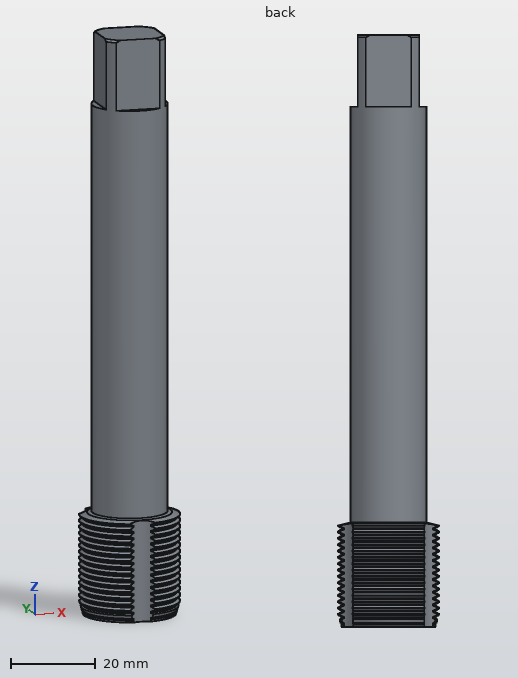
import cadquery as cq
import math

total_length = 140.0
square_length = 17.0
joint_height = 24.5

shank_radius = 18.0 / 2
surround_radius = 2 * shank_radius
square_width = 14.5
end_chamfer = 0.5

joint_radius = 10.1
shoulder_angle = 14.0

pitch = 21.0 / 14
groove_count = 16
crest_radius = 16 * pitch / 2
flank_angle = 30.0
crest_flat = pitch / 8
thread_depth = 0.91

tip_radius = 11.0
taper_length = 3.2

flute_count = 3
flute_radius = 4.3
flute_floor_radius = 10.4
first_flute_angle = -90.0

shoulder_slope = math.tan(math.radians(shoulder_angle))
top_crest_height = joint_height - (crest_radius - joint_radius) * shoulder_slope
shoulder_top = joint_height + (joint_radius - shank_radius) * shoulder_slope


def revolve_outline(outline):
    """Turn a closed (radius, height) outline around the Z axis."""
    return outline.close().revolve(360, (0, 0, 0), (0, 1, 0))


def make_shank():
    """Round shank with a flared foot and a square drive end."""
    outline = (
        cq.Workplane("XZ")
        .moveTo(0, joint_height)
        .lineTo(joint_radius, joint_height)
        .lineTo(shank_radius, shoulder_top)
        .lineTo(shank_radius, total_length - end_chamfer)
        .lineTo(shank_radius - end_chamfer, total_length)
        .lineTo(0, total_length)
    )
    round_shank = revolve_outline(outline)

    square_base = cq.Workplane("XY").workplane(offset=total_length - square_length)
    surround = (
        square_base.circle(surround_radius)
        .rect(square_width, square_width)
        .extrude(square_length)
    )
    return round_shank.cut(surround)


def make_head_blank():
    """Plain head with the lead taper at the tip and the shoulder on top."""
    outline = (
        cq.Workplane("XZ")
        .lineTo(tip_radius, 0)
        .lineTo(crest_radius, taper_length)
        .lineTo(crest_radius, top_crest_height)
        .lineTo(joint_radius, joint_height)
        .lineTo(0, joint_height)
    )
    return revolve_outline(outline)


def make_groove(crest_height):
    """V groove with a flat floor, directly below the ring whose crest is at crest_height."""
    flank_run = thread_depth * math.tan(math.radians(flank_angle))
    top = crest_height - crest_flat / 2
    bottom = crest_height - pitch + crest_flat / 2
    root_radius = crest_radius - thread_depth
    outline = (
        cq.Workplane("XZ")
        .moveTo(crest_radius, top)
        .lineTo(root_radius, top - flank_run)
        .lineTo(root_radius, bottom + flank_run)
        .lineTo(crest_radius, bottom)
    )
    return revolve_outline(outline)


def make_flute(angle):
    """Round-bottomed groove cutter along the whole head."""
    axis_distance = flute_floor_radius + flute_radius
    return (
        cq.Workplane("XY")
        .center(
            axis_distance * math.cos(math.radians(angle)),
            axis_distance * math.sin(math.radians(angle)),
        )
        .circle(flute_radius)
        .extrude(joint_height)
    )


def make_threaded_head():
    """Fluted cutting head with thread rings."""
    head = make_head_blank()
    for index in range(groove_count):
        head = head.cut(make_groove(top_crest_height - index * pitch))
    for index in range(flute_count):
        head = head.cut(make_flute(first_flute_angle + index * 360 / flute_count))
    return head


shank = make_shank()
threaded_head = make_threaded_head()

result = cq.Compound.makeCompound([shank.val(), threaded_head.val()])